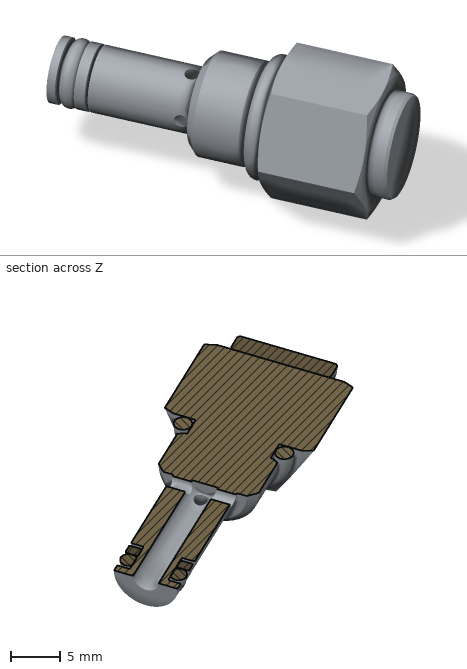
import cadquery as cq
import math


total_length = 37.15
hex_across_flats = 14.27
hex_start = 23.85
hex_end = 35.05
hex_face_diameter = 14.12
hex_chamfer_length = 0.45

barrel_diameter = 7.05
groove_diameter = 4.3
groove_start = 0.9
groove_end = 4.42

collar_diameter = 11.1
collar_start = 15.45
collar_end = 21.65
collar_front_chamfer = 0.93
collar_back_chamfer_length = 0.37
collar_back_chamfer_height = collar_back_chamfer_length * math.tan(math.radians(60))
neck_diameter = 9.3

bore_diameter = 2.8
bore_depth = collar_start
cross_hole_diameter = 1.55
cross_hole_position = 14.45

nose_ring_diameter = 7.32
nose_ring_section = 1.8
nose_ring_center = 2.05
backup_ring_diameter = 7.1
backup_ring_start = nose_ring_center + nose_ring_section / 2
backup_ring_width = 1.15

neck_ring_section = 1.95
neck_ring_diameter = neck_diameter + 2 * neck_ring_section
neck_ring_center = hex_start - neck_ring_section / 2

plug_diameter = 11.1
plug_front_chamfer = 0.2
plug_back_chamfer_length = 0.35
plug_back_chamfer_height = 0.2


def revolve_profile(points):
    """Turn a closed outline of (x, radius) points around the X axis."""
    return cq.Workplane("XY").polyline(points).close().revolve(360, (0, 0, 0), (1, 0, 0))


def cylinder(diameter, start, end):
    """Solid cylinder along X between two positions."""
    return cq.Workplane("YZ").workplane(offset=start).circle(diameter / 2).extrude(end - start)


def torus(outer_diameter, section, center):
    """Round-section ring around X."""
    mean_radius = (outer_diameter - section) / 2
    return (
        cq.Workplane("XY")
        .center(center, mean_radius)
        .circle(section / 2)
        .revolve(360, (0, -mean_radius, 0), (1, -mean_radius, 0))
    )


def make_hex():
    """Hexagon with flats on top and bottom, its corners chamfered at both ends."""
    across_corners = hex_across_flats / math.cos(math.pi / 6)
    prism = (
        cq.Workplane("YZ")
        .workplane(offset=hex_start)
        .polygon(6, across_corners)
        .extrude(hex_end - hex_start)
    )
    face_radius = hex_face_diameter / 2
    corner_radius = across_corners / 2
    chamfer_envelope = revolve_profile([
        (hex_start, 0),
        (hex_start, face_radius),
        (hex_start + hex_chamfer_length, corner_radius),
        (hex_end - hex_chamfer_length, corner_radius),
        (hex_end, face_radius),
        (hex_end, 0),
    ])
    return prism.intersect(chamfer_envelope)


def make_housing():
    """Barrel, collar, neck and hex in one piece, with its bore and cross holes."""
    barrel_radius = barrel_diameter / 2
    groove_radius = groove_diameter / 2
    collar_radius = collar_diameter / 2
    neck_radius = neck_diameter / 2
    stem = revolve_profile([
        (0, 0),
        (0, barrel_radius),
        (groove_start, barrel_radius),
        (groove_start, groove_radius),
        (groove_end, groove_radius),
        (groove_end, barrel_radius),
        (collar_start, barrel_radius),
        (collar_start, collar_radius - collar_front_chamfer),
        (collar_start + collar_front_chamfer, collar_radius),
        (collar_end - collar_back_chamfer_length, collar_radius),
        (collar_end, collar_radius - collar_back_chamfer_height),
        (collar_end, neck_radius),
        (hex_start, neck_radius),
        (hex_start, 0),
    ])
    housing = stem.union(make_hex()).cut(cylinder(bore_diameter, 0, bore_depth))
    for plane in ("XY", "XZ"):
        cross_hole = (
            cq.Workplane(plane)
            .center(cross_hole_position, 0)
            .circle(cross_hole_diameter / 2)
            .extrude(barrel_diameter, both=True)
        )
        housing = housing.cut(cross_hole)
    return housing


def make_nose_ring():
    """Seal ring squeezed flat on its inside where it sits on the groove floor."""
    ring = torus(nose_ring_diameter, nose_ring_section, nose_ring_center)
    return ring.cut(cylinder(groove_diameter, groove_start, groove_end))


def make_backup_ring():
    """Flat ring filling the groove beside the nose seal ring."""
    end = backup_ring_start + backup_ring_width
    ring = cylinder(backup_ring_diameter, backup_ring_start, end)
    return ring.cut(cylinder(groove_diameter, backup_ring_start, end))


def make_neck_ring():
    """Seal ring around the neck between collar and hex."""
    return torus(neck_ring_diameter, neck_ring_section, neck_ring_center)


def make_end_plug():
    """Disc with chamfered rims closing the back of the hex."""
    plug_radius = plug_diameter / 2
    return revolve_profile([
        (hex_end, 0),
        (hex_end, plug_radius - plug_front_chamfer),
        (hex_end + plug_front_chamfer, plug_radius),
        (total_length - plug_back_chamfer_length, plug_radius),
        (total_length, plug_radius - plug_back_chamfer_height),
        (total_length, 0),
    ])


housing = make_housing()
nose_ring = make_nose_ring()
backup_ring = make_backup_ring()
neck_ring = make_neck_ring()
end_plug = make_end_plug()

result = cq.Compound.makeCompound([
    housing.solids().val(),
    nose_ring.solids().val(),
    backup_ring.solids().val(),
    neck_ring.solids().val(),
    end_plug.solids().val(),
])